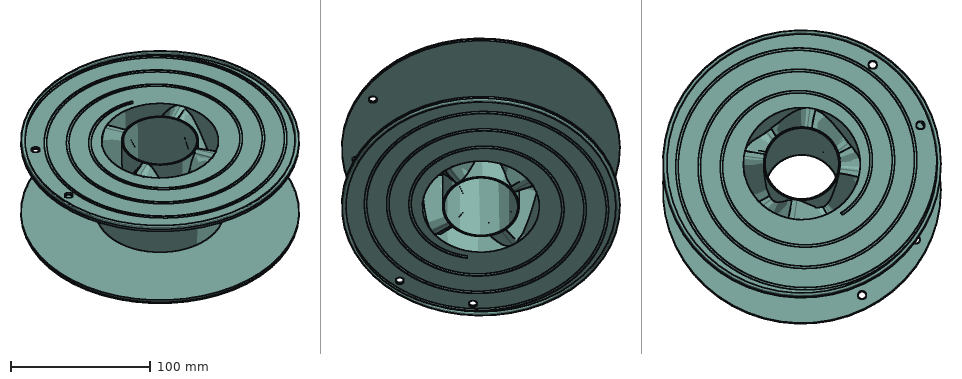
import cadquery as cq
import math

flange_diameter = 200.0
spool_height = 72.0
half_height = spool_height / 2

drum_diameter = 92.3
drum_inner_diameter = 84.0
tube_diameter = 55.0
bore_diameter = 53.0

plate_thickness = 2.0
bead_height = 2.0
bead_width = 3.0
crest_radius = 1.0
plate_outer_face = half_height - bead_height
plate_inner_face = plate_outer_face - plate_thickness
bead_centre_radius = (flange_diameter - bead_width) / 2

ridge_radius = 0.9
spiral_start_radius = 47.4
spiral_pitch = 16.0
spiral_end_radius = bead_centre_radius
spiral_start_angle = math.pi
spiral_samples = 200

wave_count = 4
half_wave_angle = math.pi / wave_count
valley_height = 1.0
wave_samples = 8

hole_diameter = 6.0
hole_circle_radius = 90.0
hole_half_spread = 18.4
top_pair_angle = 270.0
bottom_pair_angle = 190.0


def point_at(radius, angle, height=0.0):
    """Point given by polar coordinates (radians) and height."""
    return cq.Vector(radius * math.cos(angle), radius * math.sin(angle), height)


def wall(outer_diameter, inner_diameter):
    """Upper half of a hub wall, from the mid-plane to the outer face of the plate."""
    outline = cq.Workplane("XY").circle(outer_diameter / 2).circle(inner_diameter / 2)
    return outline.extrude(plate_outer_face)


def flange():
    """Flat plate with the rim bead on its outer face."""
    rim = flange_diameter / 2
    inner = drum_inner_diameter / 2
    crest_height = half_height - crest_radius
    foot_offset = bead_width / 2
    foot_drop = crest_height - plate_outer_face
    foot_angle = math.atan2(foot_drop, foot_offset)
    tangent_angle = math.acos(crest_radius / math.hypot(foot_offset, foot_drop)) - foot_angle
    tangent_offset = crest_radius * math.cos(tangent_angle)
    tangent_height = crest_height + crest_radius * math.sin(tangent_angle)
    return (
        cq.Workplane("XZ")
        .moveTo(inner, plate_inner_face)
        .lineTo(rim, plate_inner_face)
        .lineTo(rim, plate_outer_face)
        .lineTo(bead_centre_radius + tangent_offset, tangent_height)
        .threePointArc(
            (bead_centre_radius, half_height),
            (bead_centre_radius - tangent_offset, tangent_height),
        )
        .lineTo(rim - bead_width, plate_outer_face)
        .lineTo(inner, plate_outer_face)
        .close()
        .revolve(360, (0, 0, 0), (0, 1, 0))
    )


def spiral_point(turns):
    """Point of the Archimedean spiral after a number of turns."""
    radius = spiral_start_radius + spiral_pitch * turns
    return point_at(radius, spiral_start_angle + 2 * math.pi * turns, plate_outer_face).toTuple()


def spiral_ridge():
    """Round bar swept along the spiral, half sunk into the outer face of the plate."""
    turn_count = (spiral_end_radius - spiral_start_radius) / spiral_pitch
    path = cq.Workplane("XY").parametricCurve(lambda t: spiral_point(t * turn_count), N=spiral_samples)
    section_plane = cq.Plane(spiral_point(0), xDir=(0, 0, -1), normal=(0, -1, 0))
    return cq.Workplane(section_plane).circle(ridge_radius).sweep(path, isFrenet=True)


def wave_height(angle):
    """Height of the web: peaks on the diagonals, valleys on the X and Y axes."""
    amplitude = (plate_outer_face - valley_height) / 2
    return valley_height + amplitude * (1 - math.cos(wave_count * angle))


def wave_crest(radius, start_angle):
    """Half a wave wrapped on a cylinder, level at both ends."""
    angles = [start_angle + half_wave_angle * i / wave_samples for i in range(wave_samples + 1)]
    points = [point_at(radius, angle, wave_height(angle)) for angle in angles]
    tangents = [point_at(1.0, angle + math.pi / 2) for angle in (angles[0], angles[-1])]
    return cq.Edge.makeSpline(points, tangents=tangents)


def wave_base(radius, start_angle):
    """Arc on the mid-plane below the wave crest."""
    fractions = (0.0, 0.5, 1.0)
    points = [point_at(radius, start_angle + half_wave_angle * fraction) for fraction in fractions]
    return cq.Edge.makeThreePointArc(*points)


def web_sector(start_angle):
    """Half a wave of the web, reaching to mid-wall in the tube and in the drum."""
    inner_radius = (bore_diameter + tube_diameter) / 4
    outer_radius = (drum_inner_diameter + drum_diameter) / 4
    rails = [
        wave_base(inner_radius, start_angle),
        wave_base(outer_radius, start_angle),
        wave_crest(outer_radius, start_angle),
        wave_crest(inner_radius, start_angle),
    ]
    faces = []
    for i, rail in enumerate(rails):
        faces.append(cq.Face.makeRuledSurface(rails[i - 1], rail))
    for end in (0, 1):
        corners = [rail.positionAt(end) for rail in rails]
        faces.append(cq.Face.makeFromWires(cq.Wire.makePolygon(corners, close=True)))
    return cq.Workplane(cq.Solid.makeSolid(cq.Shell.makeShell(faces)))


def half_hub():
    """Drum wall, tube wall and web above the mid-plane."""
    hub = wall(drum_diameter, drum_inner_diameter).union(wall(tube_diameter, bore_diameter))
    for i in range(2 * wave_count):
        hub = hub.union(web_sector(i * half_wave_angle))
    return hub


def hole_pair(centre_angle):
    """Two cutters through the upper flange, spread evenly about an angle."""
    angles = [math.radians(centre_angle + side * hole_half_spread) for side in (-1, 1)]
    centres = [point_at(hole_circle_radius, angle) for angle in angles]
    return cq.Workplane("XY").pushPoints(centres).circle(hole_diameter / 2).extrude(half_height)


plain_half = flange().union(spiral_ridge()).union(half_hub())
top_half = plain_half.cut(hole_pair(top_pair_angle))
bottom_half = plain_half.cut(hole_pair(bottom_pair_angle)).mirror("XY")
result = top_half.union(bottom_half).translate((0, 0, half_height))